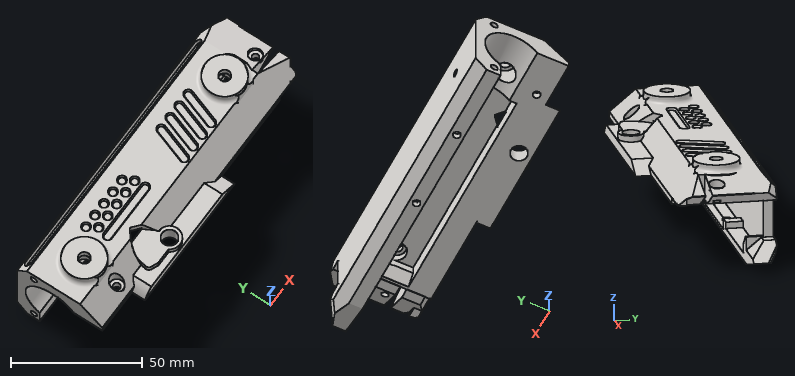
import cadquery as cq
import math


LENGTH = 133.9
DEPTH = 45.7
DECK_Z = 36.7
BOSS_TOP_Z = 40.0
MID_Z = DECK_Z / 2

LIP_Y = 6.0
LIP_TOP_Z = 28.3
SHELF_Z = 25.7
DECK_FRONT_Y = 16.3
BACK_BEVEL_Y = 4.7
BACK_BEVEL_Z = 5.0
WALL = 3.9
FLANGE_Y = 35.1
BEVEL_SLOPE = (DECK_Z - LIP_TOP_Z) / (DECK_FRONT_Y - LIP_Y)
DECK_BACK_Y = DEPTH - BACK_BEVEL_Y
INNER_Y = DEPTH - WALL

BORE_R = 12.3
BORE_Y = 29.3
BORE_Z = MID_Z
BORE_END_X = 24.2

CAVITY_FLOOR_Z = 3.1
CAVITY_END_X = 113.8
CAVITY_STEP_Z = 6.8
RAMP_RUN = 4
FLOOR_RECESS_Z = 1.5
RECESS_END_X = 75.5
FLOOR_RIB_LENGTH = 5.0
FLOOR_RIB_TOP_Z = 5.6

NOSE_X = 119.2
NOSE_TIP_RISE = 4.3
NOSE_UNDERCUT_X = 123.6
NOSE_INNER_Z = 10.5
NOSE_TRIM = 0.4
SLOT_BACK_Y = 19.0
LOWER_CHAMFER_Z = 5.6
NOTCH_X = 131.3
NOTCH_Y = 9.5

BOSS_XS = (15.8, 109.9)
BOSS_Y = 25.3
BOSS_D = 18.0
BOSS_HOLE_D = 5.0
BOSS_HEAD_D = 8
BOSS_SEAT_Z = 37.0
BOSS_FILLET = 2.0
BOSS_FOOT_FRONT_Y = 15.5
BOSS_FOOT_END_X = 120.5
BOSS_ROOT_Z = 35.1

SCREW_D = 3.0
COUNTERBORE_D = 6.0
SIDE_SCREW = (17.3, 11.2)
SIDE_SCREW_SEAT_Z = 29.3
NOSE_SCREW = (126.1, 22.2)
NOSE_SCREW_SEAT_Z = 32.4
END_HOLE_Y = 37.8
END_HOLE_INSET_Z = 3.7
END_HOLE_DEPTH = 13.4
WALL_HOLE_X = 17.5
FLOOR_HOLE_XS = (31.9, 66.7)
FLOOR_HOLE_Y = 38.0

RAIL_TOP_Z = 30.3
RAIL_X = (19.8, 80.0)
RAIL_TOP_X = (24.2, 71.9)
CAM_TOP_Z = 32.7
CAM_X = 44.3
CAM_Y = 5.5
CAM_R = 5.0
CAM_HOLE_D = 6.8

DIMPLE_D = 3.9
DIMPLE_FLOOR_D = 3.0
DIMPLE_DEPTH = 1.0
DIMPLE_PITCH = 6.0
DIMPLE_ROWS = ((28.4, 33.2), (30.9, 29.0))
DIMPLES_PER_ROW = 5
LONG_SLOT_X = (28.0, 57.0)
LONG_SLOT_Y = 24.2
SLANT_SLOTS = 4
SLANT_START = (73.8, 19.0)
SLANT_END = (78.9, 33.2)
GROOVE_X = (2.7, 119.5)
GROOVE_WIDTH = 4.3
GROOVE_DEPTH = 1.3


def block(x_range, y_range, z_range):
    """Box between two limits on each axis."""
    size = [high - low for low, high in (x_range, y_range, z_range)]
    return cq.Workplane("XY").box(*size, centered=False).translate((x_range[0], y_range[0], z_range[0]))


def along_y(points, y_range):
    """Prism with an XZ outline, spanning y_range."""
    prism = cq.Workplane("XZ").polyline(points).close().extrude(y_range[0] - y_range[1])
    return prism.translate((0, y_range[0], 0))


def along_x(points, x_range):
    """Prism with a YZ outline, spanning x_range."""
    prism = cq.Workplane("YZ").polyline(points).close().extrude(x_range[1] - x_range[0])
    return prism.translate((x_range[0], 0, 0))


def pin(x, y, diameter, z_range):
    """Vertical cylinder."""
    return cq.Workplane("XY", origin=(x, y, z_range[0])).circle(diameter / 2).extrude(z_range[1] - z_range[0])


def mirrored(points):
    """The XZ outline reflected about the middle height."""
    return [(x, DECK_Z - z) for x, z in reversed(points)]


def housing():
    """C-shaped section trimmed to the length profile with its two pointed prongs."""
    section = [
        (LIP_Y, SHELF_Z), (LIP_Y, LIP_TOP_Z), (DECK_FRONT_Y, DECK_Z), (DECK_BACK_Y, DECK_Z),
        (DEPTH, DECK_Z - BACK_BEVEL_Z), (DEPTH, BACK_BEVEL_Z), (DECK_BACK_Y, 0),
        (FLANGE_Y, 0), (FLANGE_Y, SHELF_Z),
    ]
    lower_profile = [
        (0, 0), (NOSE_X, 0), (LENGTH, NOSE_TIP_RISE),
        (NOSE_UNDERCUT_X, NOSE_INNER_Z), (NOSE_X, NOSE_INNER_Z),
    ]
    profile = lower_profile + mirrored(lower_profile)
    body = along_x(section, (0, LENGTH))
    lip_prong = block((NOSE_X, NOTCH_X), (LIP_Y, NOTCH_Y), (LIP_TOP_Z, DECK_Z - NOSE_TIP_RISE))
    return body.intersect(along_y(profile, (0, DEPTH)).union(lip_prong))


def bore():
    return cq.Workplane("YZ").center(BORE_Y, BORE_Z).circle(BORE_R).extrude(BORE_END_X)


def cavity():
    """Long pocket behind the bore, with a ramped far end at floor and ceiling."""
    ramp_end_x = CAVITY_END_X + RAMP_RUN
    lower_outline = [
        (BORE_END_X, CAVITY_FLOOR_Z), (CAVITY_END_X, CAVITY_FLOOR_Z),
        (CAVITY_END_X, CAVITY_STEP_Z), (ramp_end_x, CAVITY_STEP_Z + RAMP_RUN),
    ]
    pocket = along_y(lower_outline + mirrored(lower_outline), (DECK_FRONT_Y, INNER_Y))
    pocket = pocket.union(
        block((CAVITY_END_X, NOSE_X), (DECK_FRONT_Y, INNER_Y), (CAVITY_STEP_Z + RAMP_RUN, SHELF_Z))
    )
    rib = block(
        (RECESS_END_X, RECESS_END_X + FLOOR_RIB_LENGTH), (FLANGE_Y, INNER_Y), (0, FLOOR_RIB_TOP_Z)
    )
    floor_drop = CAVITY_FLOOR_Z - FLOOR_RECESS_Z
    recess = along_x(
        [
            (FLANGE_Y, FLOOR_RECESS_Z),
            (FLANGE_Y + floor_drop / BEVEL_SLOPE, CAVITY_FLOOR_Z),
            (FLANGE_Y, CAVITY_FLOOR_Z),
        ],
        (BORE_END_X, RECESS_END_X),
    )
    return pocket.cut(rib).union(recess)


def nose_cuts():
    """Slot, chamfers, shortened front and lip notch that shape the two prongs."""
    nose_span = (NOSE_X, LENGTH)
    slot = block(nose_span, (DECK_FRONT_Y, SLOT_BACK_Y), (0, DECK_Z))
    lower_chamfer = along_x(
        [
            (FLANGE_Y, LOWER_CHAMFER_Z),
            (FLANGE_Y + (NOSE_INNER_Z - LOWER_CHAMFER_Z) / BEVEL_SLOPE, NOSE_INNER_Z),
            (FLANGE_Y, NOSE_INNER_Z),
        ],
        nose_span,
    )
    upper_chamfer = along_x(
        [
            (LIP_Y, LIP_TOP_Z),
            (LIP_Y, SHELF_Z),
            (LIP_Y + (LIP_TOP_Z - SHELF_Z) / BEVEL_SLOPE, SHELF_Z),
        ],
        nose_span,
    )
    front_trim = block((LENGTH - NOSE_TRIM, LENGTH), (0, FLANGE_Y), (0, DECK_Z))
    lip_notch = (
        cq.Workplane("XY")
        .polyline([(130.0, LIP_Y), (131.1, 6.8), (NOTCH_X, NOTCH_Y), (LENGTH, 11.2), (LENGTH, LIP_Y)])
        .close()
        .extrude(DECK_Z)
    )
    return slot.union(lower_chamfer).union(upper_chamfer).union(front_trim).union(lip_notch)


def corner_cut():
    """Oblique cuts across the back corners of both prongs."""
    start = cq.Vector(123.2, DEPTH, DECK_Z - BACK_BEVEL_Z)
    edge_point = cq.Vector(127.2, 43.1, 34.3)
    tip = cq.Vector(133.4, DECK_BACK_Y, 32.4)
    normal = (edge_point - start).cross(tip - start)
    along = edge_point - start
    plane = cq.Plane(origin=start.toTuple(), xDir=along.toTuple(), normal=normal.toTuple())
    upper = cq.Workplane(plane).rect(DEPTH, DEPTH).extrude(DEPTH)
    upper = upper.intersect(block((NOSE_X, 2 * LENGTH), (0, 2 * DEPTH), (MID_Z, 2 * DECK_Z)))
    return upper.union(upper.mirror("XY", (0, 0, MID_Z)))


def boss(x):
    """Round pad with a concave foot, cut back where it meets the front bevel and the nose."""
    radius = BOSS_D / 2
    foot_radius = radius + BOSS_FILLET
    arc_offset = BOSS_FILLET * (1 - math.sqrt(0.5))
    foot = (
        cq.Workplane("XZ")
        .moveTo(0, BOSS_ROOT_Z)
        .lineTo(foot_radius, BOSS_ROOT_Z)
        .lineTo(foot_radius, DECK_Z)
        .threePointArc((radius + arc_offset, DECK_Z + arc_offset), (radius, DECK_Z + BOSS_FILLET))
        .lineTo(radius, BOSS_TOP_Z)
        .lineTo(0, BOSS_TOP_Z)
        .close()
        .revolve()
        .translate((x, BOSS_Y, 0))
    )
    front_wedge = along_x(
        [
            (BOSS_Y - foot_radius, BOSS_ROOT_Z),
            (BOSS_Y - foot_radius, DECK_Z + BOSS_FILLET),
            (BOSS_Y - radius + BOSS_FILLET / 2, DECK_Z + BOSS_FILLET),
            (BOSS_FOOT_FRONT_Y, DECK_Z - (DECK_FRONT_Y - BOSS_FOOT_FRONT_Y) * BEVEL_SLOPE),
            (BOSS_FOOT_FRONT_Y, BOSS_ROOT_Z),
        ],
        (0, LENGTH),
    )
    overhang = block((BOSS_FOOT_END_X, LENGTH), (0, DEPTH), (0, BOSS_TOP_Z))
    pad = pin(x, BOSS_Y, BOSS_D, (BOSS_ROOT_Z, BOSS_TOP_Z))
    return foot.cut(front_wedge).cut(overhang).union(pad)


def rail():
    """Flat bar along the lip with a rounded near end and a sloped far end."""
    return (
        cq.Workplane("XZ")
        .moveTo(RAIL_X[0], SHELF_Z)
        .threePointArc((21.5, 28.3), (RAIL_TOP_X[0], RAIL_TOP_Z))
        .lineTo(RAIL_TOP_X[1], RAIL_TOP_Z)
        .lineTo(RAIL_X[1], SHELF_Z)
        .close()
        .extrude(-DECK_FRONT_Y)
    )


def cam_outline(z_range):
    """Lever-shaped prism: a pointed pad beside a round eye."""
    height = z_range[1] - z_range[0]
    pad = (
        cq.Workplane("XY", origin=(0, 0, z_range[0]))
        .moveTo(38.4, 18.5)
        .threePointArc((37.6, 19.0), (36.5, 18.5))
        .lineTo(33.7, 16)
        .threePointArc((30.8, 12), (29.3, 6.7))
        .threePointArc((29.5, 4.8), (30.7, 4))
        .lineTo(33.1, 3.0)
        .lineTo(40.5, 3.0)
        .lineTo(CAM_X, CAM_Y)
        .lineTo(CAM_X, CAM_Y + CAM_R)
        .lineTo(43.9, 11.4)
        .lineTo(41.5, 15.8)
        .lineTo(40.7, 16.6)
        .close()
        .extrude(height)
    )
    return pad.union(pin(CAM_X, CAM_Y, 2 * CAM_R, z_range))


def tapered_pocket(outline):
    """Sink a deck outline with sloping sides."""
    draft = math.degrees(math.atan((DIMPLE_D - DIMPLE_FLOOR_D) / 2 / DIMPLE_DEPTH))
    return outline.extrude(-DIMPLE_DEPTH, taper=draft)


def deck_slot(start, end):
    """Tapered slot between the centres of its two end arcs."""
    run = end[0] - start[0]
    rise = end[1] - start[1]
    centre = ((start[0] + end[0]) / 2, (start[1] + end[1]) / 2, DECK_Z)
    outline = cq.Workplane("XY", origin=centre).slot2D(
        math.hypot(run, rise) + DIMPLE_D, DIMPLE_D, math.degrees(math.atan2(rise, run))
    )
    return tapered_pocket(outline)


def bevel_groove():
    """Long round-ended groove sunk square into the upper back bevel."""
    centre = (sum(GROOVE_X) / 2, DEPTH - BACK_BEVEL_Y / 2, DECK_Z - BACK_BEVEL_Z / 2)
    plane = cq.Plane(origin=centre, xDir=(1, 0, 0), normal=(0, BACK_BEVEL_Z, BACK_BEVEL_Y))
    return cq.Workplane(plane).slot2D(GROOVE_X[1] - GROOVE_X[0], GROOVE_WIDTH).extrude(-GROOVE_DEPTH)


def counterbored(position, seat_z):
    """Screw hole through the shelf with a flat seat."""
    return pin(*position, SCREW_D, (0, DECK_Z)).union(pin(*position, COUNTERBORE_D, (seat_z, DECK_Z)))


result = housing().cut(bore()).cut(cavity()).cut(nose_cuts()).cut(corner_cut())
result = result.union(rail())

result = result.cut(cam_outline((CAM_TOP_Z, DECK_Z)))
result = result.union(cam_outline((RAIL_TOP_Z, CAM_TOP_Z)).cut(cavity()))
result = result.cut(pin(CAM_X, CAM_Y, CAM_HOLE_D, (0, DECK_Z)))

for boss_x in BOSS_XS:
    result = result.union(boss(boss_x).cut(bore()))
    result = result.cut(pin(boss_x, BOSS_Y, BOSS_HOLE_D, (0, BOSS_TOP_Z)))
    result = result.cut(pin(boss_x, BOSS_Y, BOSS_HEAD_D, (BORE_Z, BOSS_SEAT_Z)))

result = result.cut(counterbored(SIDE_SCREW, SIDE_SCREW_SEAT_Z))
result = result.cut(counterbored(NOSE_SCREW, NOSE_SCREW_SEAT_Z))
for hole_z in (END_HOLE_INSET_Z, DECK_Z - END_HOLE_INSET_Z):
    end_hole = cq.Workplane("YZ").center(END_HOLE_Y, hole_z).circle(SCREW_D / 2).extrude(END_HOLE_DEPTH)
    result = result.cut(end_hole)
wall_hole = cq.Workplane("XZ").center(WALL_HOLE_X, MID_Z).circle(SCREW_D / 2).extrude(-DEPTH)
result = result.cut(wall_hole)

for floor_hole_x in FLOOR_HOLE_XS:
    result = result.cut(pin(floor_hole_x, FLOOR_HOLE_Y, SCREW_D, (0, FLOOR_RIB_TOP_Z)))

for row_x, row_y in DIMPLE_ROWS:
    for i in range(DIMPLES_PER_ROW):
        centre = (row_x + i * DIMPLE_PITCH, row_y, DECK_Z)
        result = result.cut(tapered_pocket(cq.Workplane("XY", origin=centre).circle(DIMPLE_D / 2)))
end_inset = DIMPLE_D / 2
result = result.cut(
    deck_slot((LONG_SLOT_X[0] + end_inset, LONG_SLOT_Y), (LONG_SLOT_X[1] - end_inset, LONG_SLOT_Y))
)
for i in range(SLANT_SLOTS):
    shift = i * DIMPLE_PITCH
    result = result.cut(
        deck_slot((SLANT_START[0] + shift, SLANT_START[1]), (SLANT_END[0] + shift, SLANT_END[1]))
    )
result = result.cut(bevel_groove())